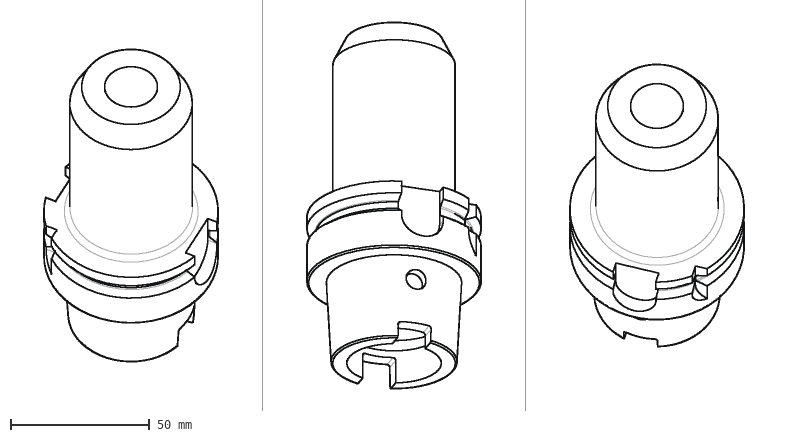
import cadquery as cq
import math

total_height = 127.2

shank_length = 32.0
shank_top_radius = 24.4
shank_end_radius = 22.8
shank_chamfer = 0.6

mouth_radius = 17.0
mouth_height = 12.7
clamping_angle = 30.0
cavity_radius = 20.2
cavity_depth = shank_length

flange_diameter = 63.0
flange_radius = flange_diameter / 2
flange_height = 26.1
flange_chamfer = 0.6
groove_floor_radius = 28.4
groove_angle = 60.0
groove_floor_width = 3.3
groove_fillet = 0.6
groove_center_depth = 8.1

nose_radius = 22.1
nose_tip_radius = 17.8
nose_taper_height = 8.9
nose_fillet = 2.0
bore_diameter = 19.1
bore_depth = 54.7

slot_floor_offset = 26.5
narrow_slot_width = 16.0
wide_slot_width = 18.1
slot_center_depth = 13.0
wide_slot_center_depth = 12.0

notch_offset = 20.0

key_slot_width = 12.6
shallow_key_depth = 6.1
deep_key_depth = 10.0
key_corner_radius = 1.0
cross_hole_diameter = 7.5
cross_hole_below_flange = 8.9

flange_top = shank_length + flange_height
reach = flange_diameter


def turned_body():
    """Revolve the outside profile of shank, flange, groove and nose."""
    groove_z = flange_top - groove_center_depth
    half_floor = groove_floor_width / 2
    flank_rise = (flange_radius - groove_floor_radius) / math.tan(math.radians(groove_angle))
    half_mouth = half_floor + flank_rise
    fillet_middle = nose_fillet * (1 - math.sqrt(0.5))
    profile = (
        cq.Workplane("XZ")
        .lineTo(shank_end_radius - shank_chamfer, 0)
        .lineTo(shank_end_radius, shank_chamfer)
        .lineTo(shank_top_radius, shank_length)
        .lineTo(flange_radius - flange_chamfer, shank_length)
        .lineTo(flange_radius, shank_length + flange_chamfer)
        .lineTo(flange_radius, groove_z - half_mouth)
        .lineTo(groove_floor_radius, groove_z - half_floor)
        .lineTo(groove_floor_radius, groove_z + half_floor)
        .lineTo(flange_radius, groove_z + half_mouth)
        .lineTo(flange_radius, flange_top)
        .lineTo(nose_radius + nose_fillet, flange_top)
        .threePointArc(
            (nose_radius + fillet_middle, flange_top + fillet_middle),
            (nose_radius, flange_top + nose_fillet),
        )
        .lineTo(nose_radius, total_height - nose_taper_height)
        .lineTo(nose_tip_radius, total_height)
        .lineTo(0, total_height)
        .close()
    )
    body = profile.revolve(360, (0, 0, 0), (0, 1, 0))

    half_box = half_floor + flank_rise / 2
    floor_circles = cq.selectors.BoxSelector(
        (-half_box, -half_box, groove_z - half_box),
        (half_box, half_box, groove_z + half_box),
    )
    return body.edges(floor_circles).fillet(groove_fillet)


def shank_cavity():
    """Revolve the hollow that opens at the shank end."""
    cone_height = (cavity_radius - mouth_radius) / math.tan(math.radians(clamping_angle))
    profile = (
        cq.Workplane("XZ")
        .lineTo(mouth_radius, 0)
        .lineTo(mouth_radius, mouth_height)
        .lineTo(cavity_radius, mouth_height + cone_height)
        .lineTo(cavity_radius, cavity_depth)
        .lineTo(0, cavity_depth)
        .close()
    )
    return profile.revolve(360, (0, 0, 0), (0, 1, 0))


def round_bottom_slot(width, center_depth, x_start, y_center):
    """Slot cutter open at the flange top, running from x_start towards +X."""
    center_z = flange_top - center_depth
    half = width / 2
    return (
        cq.Workplane("YZ", origin=(x_start, y_center, center_z))
        .moveTo(-half, center_depth)
        .lineTo(-half, 0)
        .threePointArc((0, -half), (half, 0))
        .lineTo(half, center_depth)
        .close()
        .extrude(reach)
    )


def key_slot(depth, side):
    """Slot cutter in the shank end, from the axis to the given X side."""
    return (
        cq.Workplane("XY")
        .box(reach, key_slot_width, depth, centered=(True, True, False))
        .edges("|X and >Z")
        .fillet(key_corner_radius)
        .translate((side * reach / 2, 0, 0))
    )


result = turned_body()

tool_bore = (
    cq.Workplane("XY", origin=(0, 0, total_height - bore_depth))
    .circle(bore_diameter / 2)
    .extrude(bore_depth)
)
result = result.cut(tool_bore).cut(shank_cavity())

result = result.cut(
    round_bottom_slot(narrow_slot_width, slot_center_depth, -slot_floor_offset - reach, 0)
)
result = result.cut(
    round_bottom_slot(wide_slot_width, wide_slot_center_depth, slot_floor_offset, 0)
)

notch_y = -notch_offset - narrow_slot_width / 2
result = result.cut(
    round_bottom_slot(narrow_slot_width, slot_center_depth, -notch_offset - reach, notch_y)
)

result = result.cut(key_slot(shallow_key_depth, -1))
result = result.cut(key_slot(deep_key_depth, 1))

cross_hole = (
    cq.Workplane("YZ", origin=(-reach / 2, 0, shank_length - cross_hole_below_flange))
    .circle(cross_hole_diameter / 2)
    .extrude(reach)
)
result = result.cut(cross_hole)